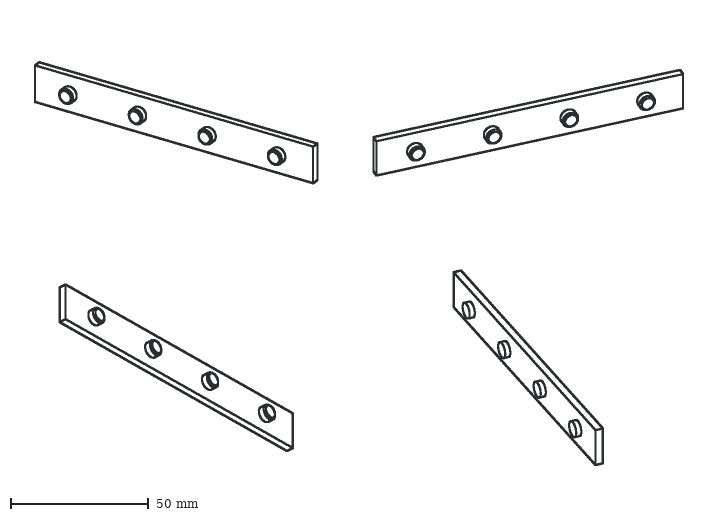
import cadquery as cq

plate_length = 120.0
plate_thickness = 3.0
plate_height = 15.0

pin_count = 4
pin_diameter = 6.0
pin_front_projection = 3.0
pin_back_projection = 2.0
pin_chamfer = 0.6
pin_pitch = plate_length / pin_count

plate_front_y = -plate_thickness / 2
pin_front_y = plate_front_y - pin_front_projection
pin_length = pin_front_projection + plate_thickness + pin_back_projection
pin_positions = [(i - (pin_count - 1) / 2) * pin_pitch for i in range(pin_count)]



def make_plate():
    """Rectangular plate with a through hole for each pin."""
    return (
        cq.Workplane("XZ", origin=(0, plate_front_y, 0))
        .rect(plate_length, plate_height)
        .pushPoints([(x, 0) for x in pin_positions])
        .circle(pin_diameter / 2)
        .extrude(-plate_thickness)
    )


def make_pin(x):
    """Pin along Y at the given X, with its front end chamfered."""
    return (
        cq.Workplane("XZ", origin=(x, pin_front_y, 0))
        .circle(pin_diameter / 2)
        .extrude(-pin_length)
        .faces("<Y")
        .chamfer(pin_chamfer)
    )


plate = make_plate()
pins = [make_pin(x) for x in pin_positions]

result = cq.Compound.makeCompound([plate.val(), *[pin.solids().val() for pin in pins]])